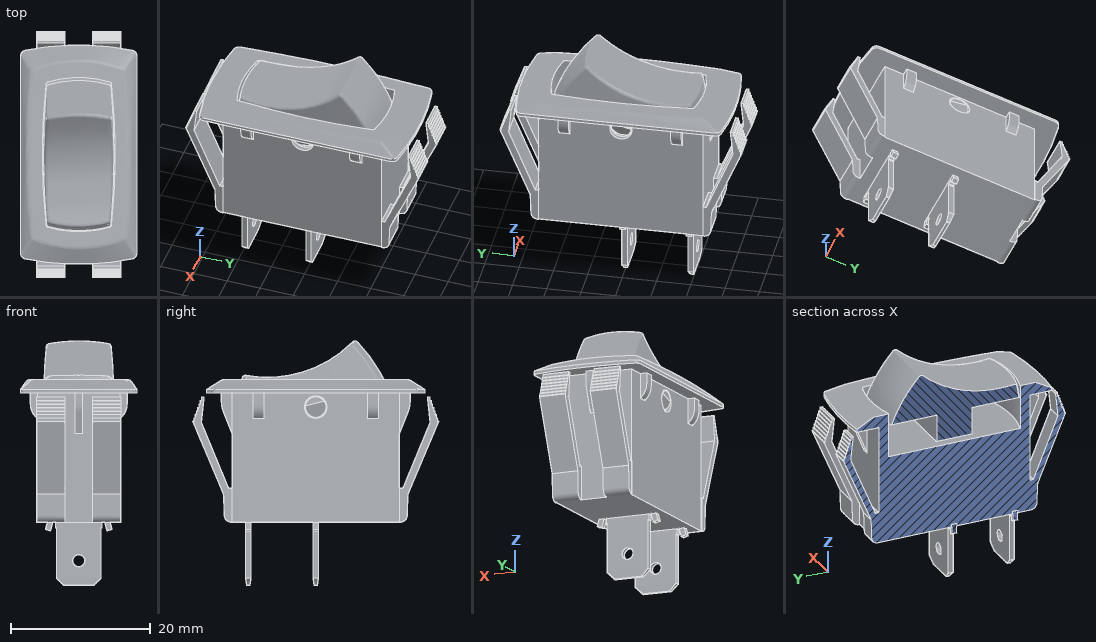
import cadquery as cq
import math


FLANGE_HALF_X = 8.35
FLANGE_CORNER_Y = 14.8
FLANGE_END_Y = 15.65
LIP_HEIGHT = 0.5
FLANGE_TOP_Z = 1.95
TOP_CORNER_X = 6.65
TOP_CORNER_Y = 12.05
TOP_SIDE_X = 7.35
TOP_END_Y = 13.38
FLANGE_CORNER_RADIUS = 0.88
FLANGE_EDGE_RADIUS = 0.9

BODY_HALF_X = 5.9
BODY_HALF_Y = 11.97
BODY_BOTTOM_Z = -18.48

OPENING_CORNER_X = 4.65
OPENING_CORNER_Y = 10.3
OPENING_SIDE_X = 5.2
OPENING_END_Y = 11.0
OPENING_CORNER_RADIUS = 0.3
POCKET_FLOOR_Z = -4.93

PIVOT_Z = -2.0
PIVOT_HOLE_DIAMETER = 3.2
PIVOT_PIN_DIAMETER = 2.95
PIN_RAMP_OFFSET = 0.53
PIN_RAMP_ANGLE = 24.0

CLIP_INNER_X = 1.97
CLIP_OUTER_X = 6.02
CLIP_FOOT_Y = 13.1
CLIP_FOOT_RADIUS = 1.02
CLIP_BEND_Y = 13.2
CLIP_BEND_Z = -14.45
CLIP_ROOT_Y = 12.45
CLIP_ROOT_Z = -13.6
CLIP_ELBOW_Y = 17.6
CLIP_ELBOW_Z = -4.05
CLIP_INNER_ELBOW_Y = 16.35
CLIP_INNER_ELBOW_Z = -4.22
CLIP_TIP_Y = 16.35
CLIP_TIP_INNER_Y = 15.95
CLIP_TIP_Z = -0.55
TOOTH_COUNT = 7
TOOTH_STEP_Y = 0.15
TOOTH_STEP_Z = 0.053

BUMP_INNER_Y = 7.43
BUMP_OUTER_Y = 8.98
BUMP_FACE_X = 6.95
BUMP_STRAIGHT_Z = -1.55
BUMP_BOTTOM_Z = -3.63

FIN_HALF_X = 0.55
FIN_FACE_Y = 13.5
FIN_STRAIGHT_Z = -1.15
FIN_ARC_END_Z = -2.78
FIN_BOTTOM_Z = -5.8

ROCKER_TILT = 14.0
ROCKER_CORNER_X = 4.5
ROCKER_SIDE_X = 5.05
ROCKER_CORNER_Y = 10.9
ROCKER_DRAFT = 2.2
ROCKER_TOP_Z = 8.8
END_RADIUS = 21.12
END_BULGE = 0.85
BARREL_HALF_X = 5.28
BACK_CENTRE_Y = -9.2
BACK_CENTRE_Z = -7.4
FRONT_CENTRE_Y = 10.1
FRONT_CENTRE_Z = -2.4
ROCKER_EDGE_RADIUS = 0.5
DISH_BACK = (6.5, 8.7)
DISH_MIDDLE = (-1.25, 3.2)
DISH_FRONT = (-10.9, 2.75)
HUB_HALF_X = 4.93
HUB_HALF_Y = 2.8
HUB_BOTTOM_Z = -4.22

TERMINAL_CENTRES_Y = (0.0, -9.65)
BLADE_HALF_X = 3.2
SHOULDER_HALF_X = 3.35
SHOULDER_Z = -19.3
BLADE_TOP_Z = -14.8
BLADE_BEVEL_Z = -26.47
BLADE_TIP_Z = -27.5
BLADE_TIP_HALF_X = 2.2
BLADE_THICKNESS = 0.8
BLADE_TIP_THICKNESS = 0.5
BLADE_HOLE_DIAMETER = 1.7
BLADE_HOLE_Z = -23.97
EAR_END_X = 4.4
EAR_END_Z = -19.6
EAR_WIDTH = 0.77
EAR_LENGTH = 4.22
EAR_ANGLE = 15.0


def bowed_outline(plane, corner_x, corner_y, side_x, end_y):
    """Closed rectangle-like outline with sides bowed out to side_x and ends to end_y."""
    return (
        plane.moveTo(corner_x, -corner_y)
        .threePointArc((side_x, 0), (corner_x, corner_y))
        .threePointArc((0, end_y), (-corner_x, corner_y))
        .threePointArc((-side_x, 0), (-corner_x, -corner_y))
        .threePointArc((0, -end_y), (corner_x, -corner_y))
        .close()
    )


def flange_outline(plane):
    """Outer flange outline: straight long sides and bowed ends."""
    return (
        plane.moveTo(FLANGE_HALF_X, -FLANGE_CORNER_Y)
        .lineTo(FLANGE_HALF_X, FLANGE_CORNER_Y)
        .threePointArc((0, FLANGE_END_Y), (-FLANGE_HALF_X, FLANGE_CORNER_Y))
        .lineTo(-FLANGE_HALF_X, -FLANGE_CORNER_Y)
        .threePointArc((0, -FLANGE_END_Y), (FLANGE_HALF_X, -FLANGE_CORNER_Y))
        .close()
    )


def make_flange():
    """Upright lip with a sloped crown above it, rounded at the corners and the top edge."""
    lip = flange_outline(cq.Workplane("XY")).extrude(LIP_HEIGHT)
    base_wire = flange_outline(cq.Workplane("XY").workplane(offset=LIP_HEIGHT)).val()
    top_plane = cq.Workplane("XY").workplane(offset=FLANGE_TOP_Z)
    top_wire = bowed_outline(top_plane, TOP_CORNER_X, TOP_CORNER_Y, TOP_SIDE_X, TOP_END_Y).val()
    crown = cq.Workplane(cq.Solid.makeLoft([base_wire, top_wire], True))
    flange = lip.union(crown)
    corners = flange.edges().filter(lambda edge: edge.BoundingBox().zlen > LIP_HEIGHT / 2)
    flange = corners.fillet(FLANGE_CORNER_RADIUS)
    return flange.faces(">Z").edges().fillet(FLANGE_EDGE_RADIUS)


def make_clip():
    """One spring clip at the +X, +Y corner, with a serrated grip above its elbow."""
    profile = (
        cq.Workplane("YZ")
        .workplane(offset=CLIP_INNER_X)
        .moveTo(BODY_HALF_Y, BODY_BOTTOM_Z)
        .lineTo(CLIP_FOOT_Y - CLIP_FOOT_RADIUS, BODY_BOTTOM_Z)
        .radiusArc((CLIP_FOOT_Y, BODY_BOTTOM_Z + CLIP_FOOT_RADIUS), -CLIP_FOOT_RADIUS)
        .lineTo(CLIP_BEND_Y, CLIP_BEND_Z)
        .lineTo(CLIP_ELBOW_Y, CLIP_ELBOW_Z)
    )
    pitch_y = (CLIP_ELBOW_Y - CLIP_TIP_Y) / TOOTH_COUNT
    pitch_z = (CLIP_TIP_Z - CLIP_ELBOW_Z) / TOOTH_COUNT
    for tooth in range(TOOTH_COUNT):
        tip_y = CLIP_ELBOW_Y - tooth * pitch_y
        tip_z = CLIP_ELBOW_Z + tooth * pitch_z
        profile = profile.lineTo(tip_y - TOOTH_STEP_Y, tip_z - TOOTH_STEP_Z)
        profile = profile.lineTo(tip_y - pitch_y, tip_z + pitch_z)
    return (
        profile.lineTo(CLIP_TIP_INNER_Y, CLIP_TIP_Z)
        .lineTo(CLIP_INNER_ELBOW_Y, CLIP_INNER_ELBOW_Z)
        .lineTo(CLIP_ROOT_Y, CLIP_ROOT_Z)
        .lineTo(BODY_HALF_Y, CLIP_ROOT_Z)
        .close()
        .extrude(CLIP_OUTER_X - CLIP_INNER_X)
    )


def make_bump():
    """One side bump at +X, +Y: straight at the top and rounded in towards the wall."""
    reach = BUMP_FACE_X - BODY_HALF_X
    drop = BUMP_STRAIGHT_Z - BUMP_BOTTOM_Z
    radius = (reach**2 + drop**2) / (2 * reach)
    return (
        cq.Workplane("XZ")
        .workplane(offset=-BUMP_OUTER_Y)
        .moveTo(BODY_HALF_X, 0)
        .lineTo(BUMP_FACE_X, 0)
        .lineTo(BUMP_FACE_X, BUMP_STRAIGHT_Z)
        .radiusArc((BODY_HALF_X, BUMP_BOTTOM_Z), radius)
        .close()
        .extrude(BUMP_OUTER_Y - BUMP_INNER_Y)
    )


def make_fin():
    """The +Y fin: straight, then an arc that runs into a tangent slope down to the wall."""
    arc_drop = FIN_STRAIGHT_Z - FIN_ARC_END_Z
    slope_drop = FIN_ARC_END_Z - FIN_BOTTOM_Z
    effective_drop = arc_drop / 2 + slope_drop
    slope_angle = math.atan((FIN_FACE_Y - BODY_HALF_Y) / effective_drop)
    arc_end_y = BODY_HALF_Y + slope_drop * math.tan(slope_angle)
    return (
        cq.Workplane("YZ")
        .moveTo(BODY_HALF_Y, 0)
        .lineTo(FIN_FACE_Y, 0)
        .lineTo(FIN_FACE_Y, FIN_STRAIGHT_Z)
        .tangentArcPoint((arc_end_y, FIN_ARC_END_Z), relative=False)
        .lineTo(BODY_HALF_Y, FIN_BOTTOM_Z)
        .close()
        .extrude(FIN_HALF_X, both=True)
    )


def make_housing(terminals):
    """Flange, body, clips, bumps and fins in one solid, with recesses for the other bodies."""
    body = cq.Workplane("XY").rect(2 * BODY_HALF_X, 2 * BODY_HALF_Y).extrude(BODY_BOTTOM_Z)
    housing = make_flange().union(body)
    for corner_part in (make_clip(), make_bump()):
        pair = corner_part.union(corner_part.mirror("YZ"))
        housing = housing.union(pair).union(pair.mirror("XZ"))
    fin = make_fin()
    housing = housing.union(fin).union(fin.mirror("XZ"))

    pocket = (
        bowed_outline(
            cq.Workplane("XY").workplane(offset=POCKET_FLOOR_Z),
            OPENING_CORNER_X,
            OPENING_CORNER_Y,
            OPENING_SIDE_X,
            OPENING_END_Y,
        )
        .extrude(FLANGE_TOP_Z - POCKET_FLOOR_Z)
        .edges("|Z")
        .fillet(OPENING_CORNER_RADIUS)
    )
    pivot_hole = (
        cq.Workplane("YZ")
        .center(0, PIVOT_Z)
        .circle(PIVOT_HOLE_DIAMETER / 2)
        .extrude(BODY_HALF_X, both=True)
    )
    housing = housing.cut(pocket).cut(pivot_hole)
    for terminal in terminals:
        housing = housing.cut(terminal)
    return housing


def barrel(centre_y, centre_z):
    """Barrel about an X-parallel axis, fattest at X = 0, END_BULGE thinner at its flat ends."""
    edge_radius = END_RADIUS - END_BULGE
    return (
        cq.Workplane("XY")
        .workplane(offset=centre_z)
        .moveTo(-BARREL_HALF_X, centre_y)
        .lineTo(-BARREL_HALF_X, centre_y + edge_radius)
        .threePointArc((0, centre_y + END_RADIUS), (BARREL_HALF_X, centre_y + edge_radius))
        .lineTo(BARREL_HALF_X, centre_y)
        .close()
        .revolve(360, (0, centre_y, 0), (1, centre_y, 0))
    )


def make_pivot_pin():
    """Both pivot pins as one cross bar; each end has a snap-in ramp on its lower part."""
    pin = (
        cq.Workplane("YZ")
        .circle(PIVOT_PIN_DIAMETER / 2)
        .extrude(BODY_HALF_X, both=True)
    )
    ramp_drop = PIN_RAMP_OFFSET + PIVOT_PIN_DIAMETER / 2
    ramp_depth = ramp_drop * math.tan(math.radians(PIN_RAMP_ANGLE))
    ramp = (
        cq.Workplane("XZ")
        .moveTo(BODY_HALF_X, PIN_RAMP_OFFSET)
        .lineTo(BODY_HALF_X, PIN_RAMP_OFFSET - ramp_drop)
        .lineTo(BODY_HALF_X - ramp_depth, PIN_RAMP_OFFSET - ramp_drop)
        .close()
        .extrude(PIVOT_PIN_DIAMETER, both=True)
    )
    pin = pin.cut(ramp).cut(ramp.mirror("YZ"))
    return pin.rotate((0, 0, 0), (1, 0, 0), ROCKER_TILT).translate((0, 0, PIVOT_Z))


def make_rocker():
    """Dished cap with rounded edges, on a hub that carries the pivot pins."""
    side_profile = (
        cq.Workplane("YZ")
        .moveTo(ROCKER_CORNER_Y, 0)
        .lineTo(ROCKER_CORNER_Y, DISH_BACK[1])
        .lineTo(*DISH_BACK)
        .threePointArc(DISH_MIDDLE, DISH_FRONT)
        .lineTo(-ROCKER_CORNER_Y, 0)
        .close()
        .extrude(2 * ROCKER_SIDE_X, both=True)
    )
    cap = (
        bowed_outline(
            cq.Workplane("XY"),
            ROCKER_CORNER_X,
            ROCKER_CORNER_Y,
            ROCKER_SIDE_X,
            ROCKER_CORNER_Y + END_BULGE,
        )
        .extrude(ROCKER_TOP_Z, taper=ROCKER_DRAFT)
        .intersect(side_profile)
        .intersect(barrel(BACK_CENTRE_Y, BACK_CENTRE_Z))
        .intersect(barrel(FRONT_CENTRE_Y, FRONT_CENTRE_Z))
    )
    cap = cap.faces("not <Z").edges("not(<Z)").fillet(ROCKER_EDGE_RADIUS)
    hub = (
        cq.Workplane("XY")
        .rect(2 * HUB_HALF_X, 2 * HUB_HALF_Y)
        .extrude(HUB_BOTTOM_Z)
    )
    return cap.union(hub).union(make_pivot_pin())


def make_terminal(centre_y):
    """Blade with a bevelled tip and two splayed ears; its head is embedded in the housing."""
    half_outline = (
        cq.Workplane("XZ")
        .moveTo(0, BLADE_TOP_Z)
        .lineTo(SHOULDER_HALF_X, BLADE_TOP_Z)
        .lineTo(SHOULDER_HALF_X, SHOULDER_Z)
        .lineTo(BLADE_HALF_X, SHOULDER_Z)
        .lineTo(BLADE_HALF_X, BLADE_BEVEL_Z)
        .lineTo(BLADE_TIP_HALF_X, BLADE_TIP_Z)
        .lineTo(0, BLADE_TIP_Z)
    )
    blade = half_outline.mirrorY().extrude(BLADE_THICKNESS / 2, both=True)
    edge_profile = (
        cq.Workplane("YZ")
        .moveTo(BLADE_THICKNESS / 2, BLADE_TOP_Z)
        .lineTo(BLADE_THICKNESS / 2, BLADE_BEVEL_Z)
        .lineTo(BLADE_TIP_THICKNESS / 2, BLADE_TIP_Z)
        .lineTo(-BLADE_TIP_THICKNESS / 2, BLADE_TIP_Z)
        .lineTo(-BLADE_THICKNESS / 2, BLADE_BEVEL_Z)
        .lineTo(-BLADE_THICKNESS / 2, BLADE_TOP_Z)
        .close()
        .extrude(SHOULDER_HALF_X, both=True)
    )
    hole = (
        cq.Workplane("XZ")
        .center(0, BLADE_HOLE_Z)
        .circle(BLADE_HOLE_DIAMETER / 2)
        .extrude(BLADE_THICKNESS, both=True)
    )
    ear = (
        cq.Workplane("XY")
        .box(EAR_WIDTH, BLADE_THICKNESS, EAR_LENGTH, centered=(True, True, False))
        .rotate((0, 0, 0), (0, 1, 0), -EAR_ANGLE)
        .translate((EAR_END_X, 0, EAR_END_Z))
    )
    terminal = blade.intersect(edge_profile).cut(hole).union(ear).union(ear.mirror("YZ"))
    return terminal.translate((0, centre_y, 0))


terminals = [make_terminal(centre_y) for centre_y in TERMINAL_CENTRES_Y]
housing = make_housing(terminals)
rocker = make_rocker()

result = cq.Compound.makeCompound([
    housing.val(),
    rocker.val(),
    *[terminal.val() for terminal in terminals],
])